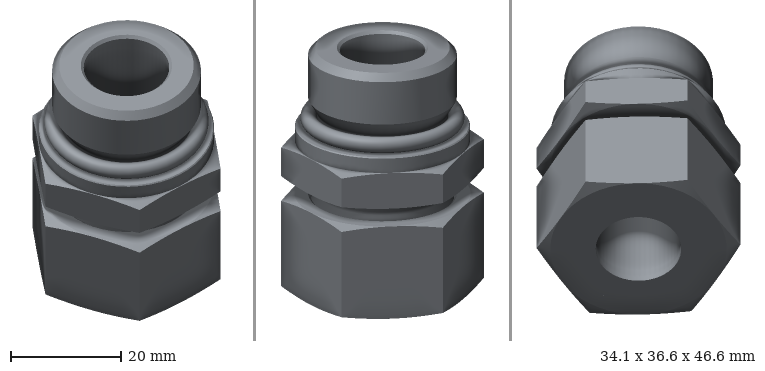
import cadquery as cq
import math

total_height = 46.6
hex_corner_dia = 36.95
hex_turn = -22.6
hex_bevel_face_dia = 31.95
hex_bevel_height = 0.7

nut_height = 18.1
body_hex_bottom = 21.55
body_hex_height = 7.0
flange_height = 3.0
body_hex_top = body_hex_bottom + body_hex_height
flange_top = body_hex_top + flange_height
neck_cone_top = 18.7

bore_dia = 15.5
bore_chamfer = 0.5
spigot_dia = 26.0
neck_dia = 23.7
flange_dia = 31.8
flange_chamfer = 0.2
stud_dia = 27.0
stud_chamfer = 1.3
stud_bottom = 37.0
relief_flank = math.radians(30)
relief_radius = 0.95

nut_mouth_dia = 27.0

ring_inner_dia = 23.8
ring_section_dia = 3.0

fillet_rise = relief_radius * math.sin(relief_flank)
fillet_spread = relief_radius * (1 - math.cos(relief_flank))
fillet_mid_rise = relief_radius * math.sin(relief_flank / 2)
fillet_mid_spread = relief_radius * (1 - math.cos(relief_flank / 2))


def revolve_about_z(profile):
    """Revolve a closed profile drawn in the XZ plane about the Z axis."""
    return profile.revolve(360, (0, 0, 0), (0, 1, 0))


def bevelled_hexagon(bottom, height):
    """Hexagonal prism whose corners are bevelled by a shallow cone at both ends."""
    prism = (
        cq.Workplane("XY")
        .workplane(offset=bottom)
        .polygon(6, hex_corner_dia)
        .extrude(height)
        .rotate((0, 0, 0), (0, 0, 1), hex_turn)
    )
    face_radius = hex_bevel_face_dia / 2
    corner_radius = hex_corner_dia / 2
    top = bottom + height
    envelope = revolve_about_z(
        cq.Workplane("XZ").polyline([
            (0, bottom),
            (face_radius, bottom),
            (corner_radius, bottom + hex_bevel_height),
            (corner_radius, top - hex_bevel_height),
            (face_radius, top),
            (0, top),
        ]).close()
    )
    return prism.intersect(envelope)


def make_lower_body():
    """Spigot inside the nut, cone and relief neck above it, and the fillet under the hexagon."""
    spigot_radius = spigot_dia / 2
    neck_radius = neck_dia / 2
    cone_top_radius = neck_radius + fillet_spread
    spigot_top = neck_cone_top - (spigot_radius - cone_top_radius) / math.tan(relief_flank)
    neck_bottom = neck_cone_top + fillet_rise
    neck_top = body_hex_bottom - relief_radius
    quarter_mid = relief_radius * math.sin(math.radians(45))
    return revolve_about_z(
        cq.Workplane("XZ")
        .moveTo(0, 0)
        .lineTo(spigot_radius, 0)
        .lineTo(spigot_radius, spigot_top)
        .lineTo(cone_top_radius, neck_cone_top)
        .threePointArc(
            (neck_radius + fillet_mid_spread, neck_bottom - fillet_mid_rise),
            (neck_radius, neck_bottom),
        )
        .lineTo(neck_radius, neck_top)
        .threePointArc(
            (neck_radius + relief_radius - quarter_mid, neck_top + quarter_mid),
            (neck_radius + relief_radius, body_hex_bottom),
        )
        .lineTo(0, body_hex_bottom)
        .close()
    )


def make_upper_body():
    """Flange, O-ring groove, relief cone and chamfered stud above the hexagon."""
    flange_radius = flange_dia / 2
    groove_radius = neck_dia / 2
    stud_radius = stud_dia / 2
    cone_bottom_radius = groove_radius + fillet_spread
    cone_bottom = stud_bottom - (stud_radius - cone_bottom_radius) / math.tan(relief_flank)
    groove_top = cone_bottom - fillet_rise
    return revolve_about_z(
        cq.Workplane("XZ")
        .moveTo(0, body_hex_top)
        .lineTo(flange_radius, body_hex_top)
        .lineTo(flange_radius, flange_top - flange_chamfer)
        .lineTo(flange_radius - flange_chamfer, flange_top)
        .lineTo(groove_radius, flange_top)
        .lineTo(groove_radius, groove_top)
        .threePointArc(
            (groove_radius + fillet_mid_spread, groove_top + fillet_mid_rise),
            (cone_bottom_radius, cone_bottom),
        )
        .lineTo(stud_radius, stud_bottom)
        .lineTo(stud_radius, total_height - stud_chamfer)
        .lineTo(stud_radius - stud_chamfer, total_height)
        .lineTo(0, total_height)
        .close()
    )


def make_bore():
    """Through bore with a chamfered mouth at the top."""
    bore_radius = bore_dia / 2
    return revolve_about_z(
        cq.Workplane("XZ").polyline([
            (0, 0),
            (bore_radius, 0),
            (bore_radius, total_height - bore_chamfer),
            (bore_radius + bore_chamfer, total_height),
            (0, total_height),
        ]).close()
    )


def make_body():
    """Fitting body: spigot, neck, hexagon, flange and stud, with a bore through it all."""
    hexagon = bevelled_hexagon(body_hex_bottom, body_hex_height)
    return make_lower_body().union(hexagon).union(make_upper_body()).cut(make_bore())


def make_nut():
    """Union nut with a hole that fits the spigot and has a 45 degree countersink at the top."""
    hole_radius = spigot_dia / 2
    mouth_radius = nut_mouth_dia / 2
    countersink_depth = mouth_radius - hole_radius
    hole = revolve_about_z(
        cq.Workplane("XZ").polyline([
            (0, 0),
            (hole_radius, 0),
            (hole_radius, nut_height - countersink_depth),
            (mouth_radius, nut_height),
            (0, nut_height),
        ]).close()
    )
    return bevelled_hexagon(0, nut_height).cut(hole)


def make_o_ring():
    """O-ring resting on the flange."""
    section_radius = ring_section_dia / 2
    return revolve_about_z(
        cq.Workplane("XZ")
        .moveTo(ring_inner_dia / 2 + section_radius, flange_top + section_radius)
        .circle(section_radius)
    )


body = make_body()
nut = make_nut()
o_ring = make_o_ring()

result = cq.Compound.makeCompound([body.val(), nut.val(), o_ring.val()])